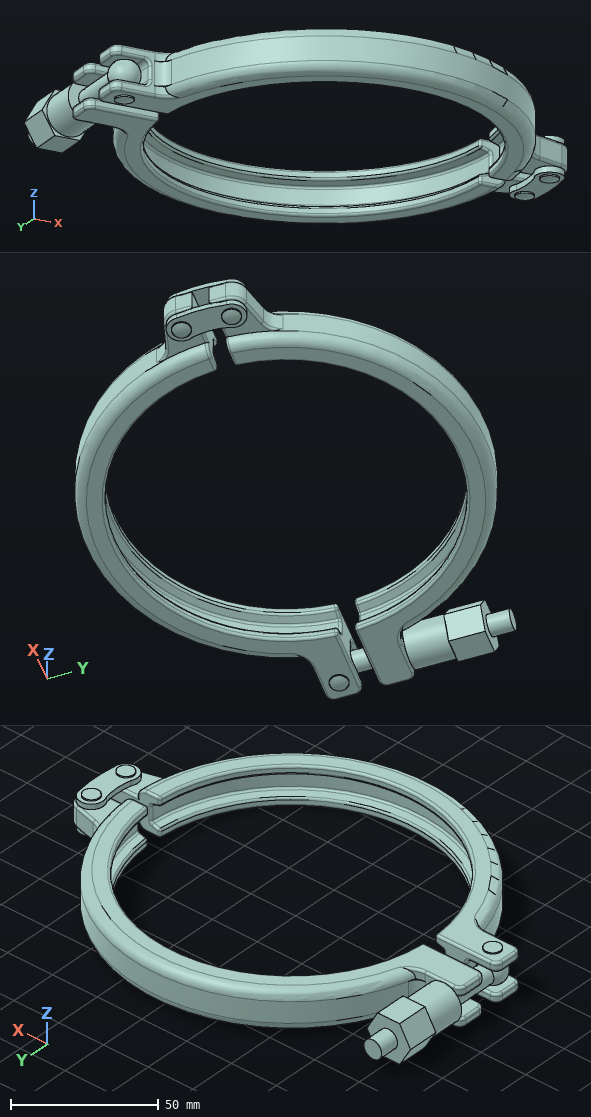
import cadquery as cq
import math

ring_outer_radius = 71.75
ring_lip_radius = 61.4
groove_floor_radius = 65.5
groove_floor_half_height = 3.6
groove_mouth_half_height = 4.9
clamp_half_height = 8.5
ring_edge_radius = 4.0
half_gap = 3.0
edge_round = 1.0

jaw_end_x = -89.2
jaw_outer_y = 16.0
jaw_mid_y = (half_gap + jaw_outer_y) / 2
jaw_corner_radius = 3.0
jaw_root_radius = 67.0
neck_fillet = 4.8
neck_top_fillet = 9.0
neck_inset = 0.25
slot_half_height = 4.5
slot_end_x = -75.5
slot_corner_radius = 2.0

pivot_offset = 81.75
rivet_y = 9.0
ear_half_height = 4.5
ear_end_radius = 6.14
ear_taper_angle = 15.0
ear_fillet = 8.0
link_thickness = 2.25
link_lobe_radius = 5.2
link_outer_bulge = 0.7
link_inner_bulge = 1.4
rivet_radius = 3.4
rivet_head_height = 1.15
rivet_dome_height = 0.6

ball_radius = 5.7
bolt_radius = 4.0
bolt_end_y = 53.0
sleeve_radius = 8.0
sleeve_length = 15.5
nut_across_flats = 17.0
nut_length = 13.2


def slab(outline, half_height):
    """Extrude an XY outline equally above and below Z = 0."""
    return outline.extrude(half_height, both=True)


def rivet(x, y, half_length):
    """Round rivet along Z with a domed head on each end; half_length excludes the heads."""
    tip = half_length + rivet_head_height
    rim_z = tip - rivet_dome_height
    dome_radius = (rivet_radius**2 + rivet_dome_height**2) / (2 * rivet_dome_height)
    mid_x = rivet_radius * math.cos(math.pi / 4)
    mid_z = tip - dome_radius + math.sqrt(dome_radius**2 - mid_x**2)
    profile = (
        cq.Workplane("XZ")
        .moveTo(0, -tip)
        .threePointArc((mid_x, -mid_z), (rivet_radius, -rim_z))
        .lineTo(rivet_radius, rim_z)
        .threePointArc((mid_x, mid_z), (0, tip))
        .close()
    )
    return profile.revolve(360, (0, 0, 0), (0, 1, 0)).translate((x, y, 0))


def ring_half():
    """Half ring with rounded outside edges and a tapered groove inside, for Y > half_gap."""
    arc_x = ring_outer_radius - ring_edge_radius
    arc_z = clamp_half_height - ring_edge_radius
    diagonal = ring_edge_radius * math.cos(math.pi / 4)
    section = (
        cq.Workplane("XZ")
        .moveTo(groove_floor_radius, -groove_floor_half_height)
        .lineTo(ring_lip_radius, -groove_mouth_half_height)
        .lineTo(ring_lip_radius, -clamp_half_height)
        .lineTo(arc_x, -clamp_half_height)
        .threePointArc((arc_x + diagonal, -arc_z - diagonal), (ring_outer_radius, -arc_z))
        .lineTo(ring_outer_radius, arc_z)
        .threePointArc((arc_x + diagonal, arc_z + diagonal), (arc_x, clamp_half_height))
        .lineTo(ring_lip_radius, clamp_half_height)
        .lineTo(ring_lip_radius, groove_mouth_half_height)
        .lineTo(groove_floor_radius, groove_floor_half_height)
        .close()
    )
    ring = section.revolve(360, (0, 0, 0), (0, 1, 0))
    inner_edges = ring.edges("%CIRCLE").filter(lambda edge: edge.radius() < jaw_root_radius)
    ring = inner_edges.fillet(edge_round)
    size = 4 * ring_outer_radius
    keep = cq.Workplane("XY").box(size, size, size).translate((0, size / 2 + half_gap, 0))
    return ring.intersect(keep).faces("<Y").edges().fillet(edge_round)


def jaw_outline(blend_radius, fillet):
    """Jaw plan that flows into the ring circle of blend_radius through a hollow fillet."""
    centre_y = jaw_outer_y + fillet
    centre_x = -math.sqrt((blend_radius + fillet) ** 2 - centre_y**2)
    start = math.radians(-90)
    end = math.atan2(-centre_y, -centre_x)
    middle = (start + end) / 2
    ring_end = (centre_x + fillet * math.cos(end), centre_y + fillet * math.sin(end))
    arc_mid = (centre_x + fillet * math.cos(middle), centre_y + fillet * math.sin(middle))
    root_scale = jaw_root_radius / blend_radius
    root_end = (ring_end[0] * root_scale, ring_end[1] * root_scale)
    root_start = (-math.sqrt(jaw_root_radius**2 - half_gap**2), half_gap)
    root_angle = (math.atan2(*root_end[::-1]) + math.atan2(*root_start[::-1])) / 2
    root_mid = (jaw_root_radius * math.cos(root_angle), jaw_root_radius * math.sin(root_angle))
    return (
        cq.Workplane("XY")
        .moveTo(*root_start)
        .lineTo(jaw_end_x, half_gap)
        .lineTo(jaw_end_x, jaw_outer_y)
        .lineTo(centre_x, jaw_outer_y)
        .threePointArc(arc_mid, ring_end)
        .lineTo(*root_end)
        .threePointArc(root_mid, root_start)
        .close()
    )


def jaw():
    """Fork jaw: rounded full-height block, a web filling its neck, and the bolt slot."""
    top_blend_radius = ring_outer_radius - ring_edge_radius + edge_round - neck_inset
    corners = cq.selectors.BoxSelector((jaw_end_x - 1, 0, -50), (jaw_end_x + 1, 50, 50))
    block = slab(jaw_outline(top_blend_radius, neck_top_fillet), clamp_half_height)
    block = block.edges("|Z").edges(corners).fillet(jaw_corner_radius)
    web = slab(jaw_outline(ring_outer_radius, neck_fillet), clamp_half_height - ring_edge_radius)
    web = web.edges("|Z").edges(corners).fillet(jaw_corner_radius)
    slot_length = slot_end_x - jaw_end_x
    slot = (
        cq.Workplane("XY")
        .box(2 * slot_length, 4 * jaw_outer_y, 2 * slot_half_height)
        .edges("|Y and >X")
        .fillet(slot_corner_radius)
        .translate((jaw_end_x, 0, 0))
    )
    rim = cq.selectors.BoxSelector((jaw_end_x - 1, 0, -50), (-67.5, 50, 50))
    block = block.faces(">Z or <Z").edges(rim).fillet(edge_round)
    fork = block.union(web).cut(slot)
    slot_rim = cq.selectors.BoxSelector(
        (jaw_end_x - 1, 0, -slot_half_height - 0.1), (slot_end_x + 0.1, 50, slot_half_height + 0.1)
    )
    return fork.edges(slot_rim).edges("#Y").fillet(edge_round)


def ear():
    """Tapered hinge ear that flows into the ring and ends round about its rivet."""
    taper = math.radians(ear_taper_angle)
    normal = (math.sin(taper), math.cos(taper))
    reach = pivot_offset * normal[0] + rivet_y * normal[1] + ear_end_radius + ear_fillet
    along = math.sqrt((ring_outer_radius + ear_fillet) ** 2 - reach**2)
    centre = (reach * normal[0] + along * normal[1], reach * normal[1] - along * normal[0])
    ring_scale = ring_outer_radius / (ring_outer_radius + ear_fillet)
    root_scale = jaw_root_radius / (ring_outer_radius + ear_fillet)
    ring_end = (centre[0] * ring_scale, centre[1] * ring_scale)
    line_start = (centre[0] - ear_fillet * normal[0], centre[1] - ear_fillet * normal[1])
    middle = (math.atan2(-centre[1], -centre[0]) + math.atan2(-normal[1], -normal[0])) / 2
    arc_mid = (centre[0] + ear_fillet * math.cos(middle), centre[1] + ear_fillet * math.sin(middle))
    line_end = (pivot_offset + ear_end_radius * normal[0], rivet_y + ear_end_radius * normal[1])
    end_mid_angle = (math.pi / 2 - taper) / 2
    end_mid = (
        pivot_offset + ear_end_radius * math.cos(end_mid_angle),
        rivet_y + ear_end_radius * math.sin(end_mid_angle),
    )
    outline = (
        cq.Workplane("XY")
        .moveTo(jaw_root_radius, half_gap)
        .lineTo(centre[0] * root_scale, centre[1] * root_scale)
        .lineTo(*ring_end)
        .threePointArc(arc_mid, line_start)
        .lineTo(*line_end)
        .threePointArc(end_mid, (pivot_offset + ear_end_radius, rivet_y))
        .lineTo(pivot_offset + ear_end_radius, half_gap)
        .close()
    )
    rim = cq.selectors.BoxSelector((jaw_root_radius + 2, 0, -50), (100, 50, 50))
    return slab(outline, ear_half_height).faces(">Z or <Z").edges(rim).fillet(edge_round)


def clamp_half():
    """One plain half: ring, jaw and ear, with the ring ends rounded."""
    return ring_half().union(jaw()).union(ear())


def hinge_link():
    """Two curved link plates and the two rivets through them."""
    outer_x = pivot_offset + link_lobe_radius
    inner_x = pivot_offset - link_lobe_radius
    rivet_spots = [(pivot_offset, rivet_y), (pivot_offset, -rivet_y)]
    link_top = ear_half_height + link_thickness
    waist = (
        cq.Workplane("XY")
        .moveTo(inner_x, -rivet_y)
        .threePointArc((inner_x + link_inner_bulge, 0), (inner_x, rivet_y))
        .lineTo(outer_x, rivet_y)
        .threePointArc((outer_x + link_outer_bulge, 0), (outer_x, -rivet_y))
        .close()
        .extrude(link_thickness)
    )
    lobes = cq.Workplane("XY").pushPoints(rivet_spots).circle(link_lobe_radius).extrude(link_thickness)
    plate = waist.union(lobes).translate((0, 0, ear_half_height))
    link = plate.union(plate.mirror("XY"))
    for x, y in rivet_spots:
        link = link.union(rivet(x, y, link_top))
    return link


def swing_bolt():
    """Ball-ended bolt with its pivot rivet and sleeve nut."""
    ball = cq.Workplane("XY").sphere(ball_radius)
    ball = ball.intersect(cq.Workplane("XY").box(20, 20, 2 * slot_half_height))
    ball = ball.translate((-pivot_offset, -jaw_mid_y, 0))

    def along_y(start_y):
        return cq.Workplane("XZ", origin=(-pivot_offset, start_y, 0))

    nut_y = jaw_outer_y + sleeve_length
    shank = along_y(-jaw_mid_y).circle(bolt_radius).extrude(-(bolt_end_y + jaw_mid_y))
    sleeve = along_y(jaw_outer_y).circle(sleeve_radius).extrude(-sleeve_length)
    nut = along_y(nut_y).polygon(6, nut_across_flats / math.cos(math.pi / 6)).extrude(-nut_length)
    pin = rivet(-pivot_offset, -jaw_mid_y, clamp_half_height)
    return ball.union(shank).union(sleeve).union(nut).union(pin)


bolt = swing_bolt()
link = hinge_link()
upper_half = clamp_half().union(link)
lower_half = clamp_half().mirror("XZ").cut(link).cut(bolt)

result = cq.Compound.makeCompound([upper_half.val(), lower_half.val(), bolt.val()])